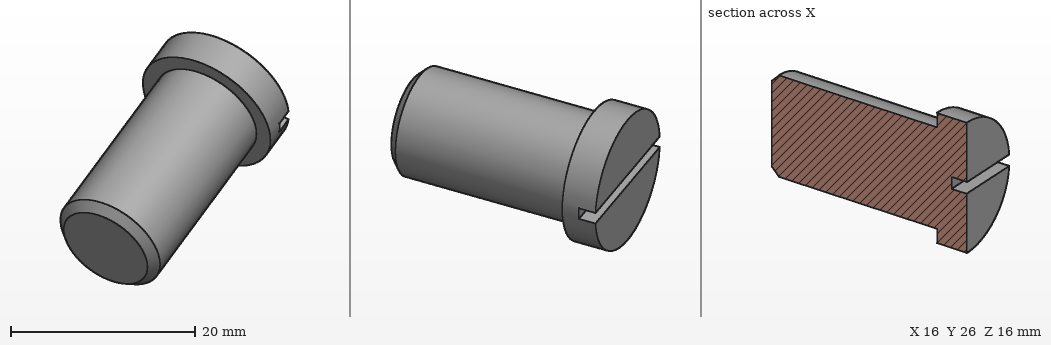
import cadquery as cq

head_diameter = 16.0
head_height = 4.0
shank_diameter = 12.5
shank_length = 22.0
tip_chamfer = 1.0
slot_width = 1.4
slot_depth = 2.0


def make_head():
    """Disc from the seating face towards +Y."""
    return cq.Workplane("XZ").circle(head_diameter / 2).extrude(-head_height)


def make_shank():
    """Cylinder from the seating face towards -Y, chamfered at its free end."""
    shank = cq.Workplane("XZ").circle(shank_diameter / 2).extrude(shank_length)
    return shank.faces("<Y").chamfer(tip_chamfer)


def make_slot():
    """Driver slot running along X across the whole head, open at the +Y face."""
    slot_center_y = head_height - slot_depth / 2
    slot = cq.Workplane("XY").box(head_diameter, slot_depth, slot_width)
    return slot.translate((0, slot_center_y, 0))


result = make_head().union(make_shank()).cut(make_slot())